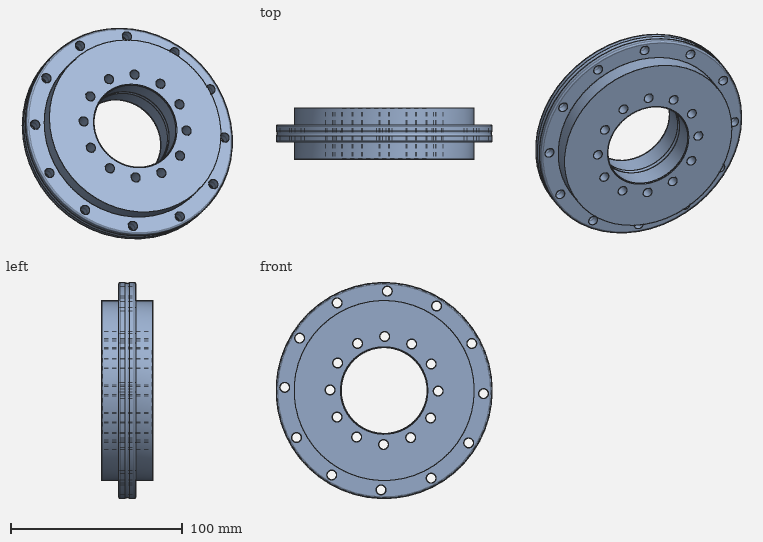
import cadquery as cq

flange_diameter = 126.0
flange_width = 10.0
flange_edge_fillet = 1.0
hub_diameter = 105.0
hub_width = 30.0
bore_diameter = 50.0
bore_chamfer = 0.5

groove_width = 2.9
groove_depth = 0.5

hole_diameter = 5.5
hole_count = 12
outer_hole_circle_radius = 58.0
outer_hole_turn = -1.8
inner_hole_circle_radius = 31.5
inner_hole_turn = -0.6


def tube(diameter, width):
    """Ring on the Y axis, centred on the XZ plane, with the plain bore through it."""
    return (
        cq.Workplane("XZ")
        .circle(diameter / 2)
        .circle(bore_diameter / 2)
        .extrude(width / 2, both=True)
    )


def round_groove(surface_radius, bottom_radius):
    """Ring cutter with an arc-shaped bottom, drawn as X = radius and Y = axial place."""
    half_width = groove_width / 2
    return (
        cq.Workplane("XY")
        .moveTo(surface_radius, -half_width)
        .threePointArc((bottom_radius, 0), (surface_radius, half_width))
        .close()
        .revolve(360, (0, 0, 0), (0, 1, 0))
    )


def hole_circle(radius, turn):
    """Cutter for one circle of through holes."""
    return (
        cq.Workplane("XZ")
        .polarArray(radius, turn, 360, hole_count)
        .circle(hole_diameter / 2)
        .extrude(hub_width, both=True)
    )


flange_radius = flange_diameter / 2
bore_radius = bore_diameter / 2

smallest_circles = cq.selectors.RadiusNthSelector(0)
largest_circles = cq.selectors.RadiusNthSelector(-1)

hub = tube(hub_diameter, hub_width).edges(smallest_circles).chamfer(bore_chamfer)
flange = tube(flange_diameter, flange_width).edges(largest_circles).fillet(flange_edge_fillet)
body = hub.union(flange)

body = body.cut(round_groove(flange_radius, flange_radius - groove_depth))
body = body.cut(round_groove(bore_radius, bore_radius + groove_depth))

body = body.cut(hole_circle(outer_hole_circle_radius, outer_hole_turn))
result = body.cut(hole_circle(inner_hole_circle_radius, inner_hole_turn))